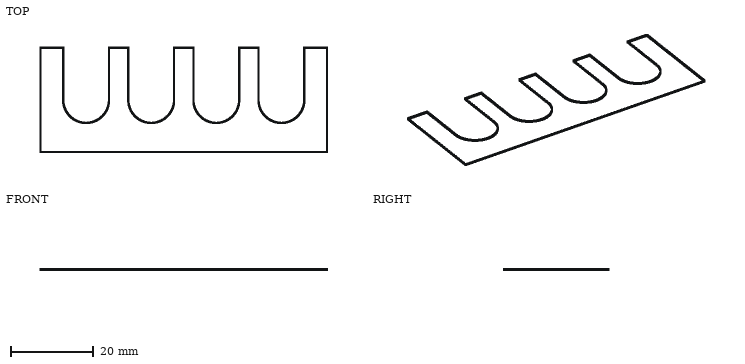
import cadquery as cq

length = 69.85
width = 25.4
thickness = 0.25

slot_count = 4
slot_pitch = 15.85
slot_width = 11.1
slot_depth = 18.3

slot_radius = slot_width / 2
back_edge = width / 2
arc_center_y = back_edge - slot_depth + slot_radius


def make_slot(center_x):
    """Cutter for one U-shaped slot running in from the +Y edge."""
    left = center_x - slot_radius
    right = center_x + slot_radius
    return (
        cq.Workplane("XY")
        .moveTo(left, back_edge)
        .lineTo(left, arc_center_y)
        .threePointArc((center_x, back_edge - slot_depth), (right, arc_center_y))
        .lineTo(right, back_edge)
        .close()
        .extrude(thickness)
    )


result = cq.Workplane("XY").box(length, width, thickness, centered=(True, True, False))

for index in range(slot_count):
    slot_x = (index - (slot_count - 1) / 2) * slot_pitch
    result = result.cut(make_slot(slot_x))